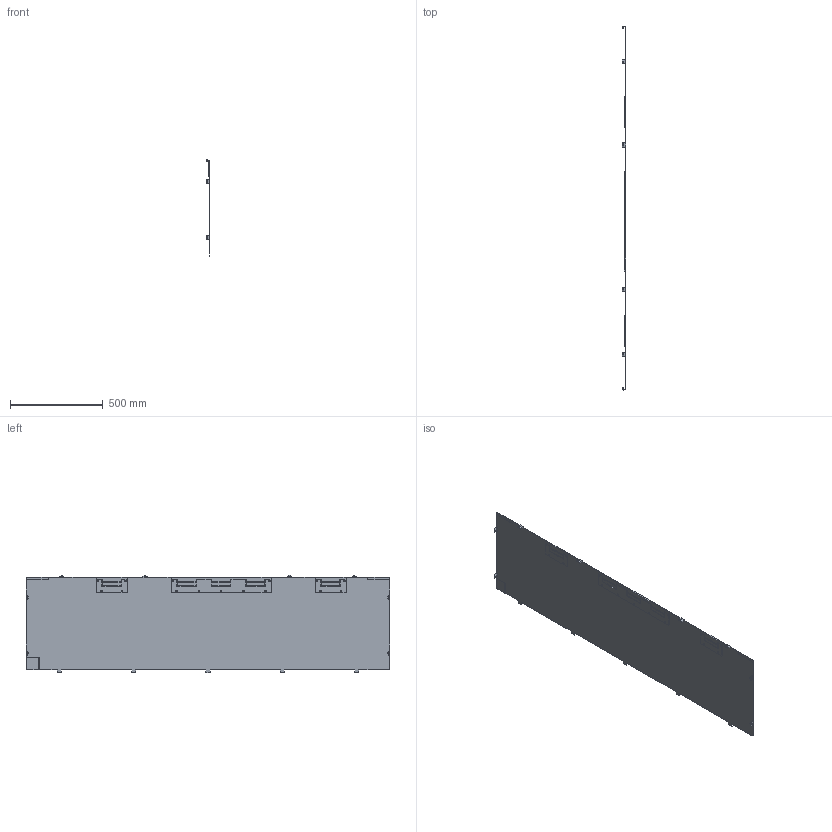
import cadquery as cq

OVERALL_DEPTH = 21.0
OVERALL_LENGTH = 1958.2
OVERALL_HEIGHT = 525.0

PANEL_HEIGHT = 500.0
PANEL_THICKNESS = 2.0
SNAP_BUMP = 1.6
PANEL_LENGTH = OVERALL_LENGTH - 2 * SNAP_BUMP
PANEL_CORNER_RADIUS = 12.0
HALF_LENGTH = PANEL_LENGTH / 2

TAB_WIDTH = 23.0
TAB_DROP = 15.0
TAB_PITCH = 400.0
TAB_COUNT = 5

CLIP_WIDTH = 24.0
CLIP_THICKNESS = 5.0
NOSE_TIP_WIDTH = 6.0
NOSE_SETBACK = 1.0
NOSE_LENGTH = 8.0
TOP_CLIP_RISE = OVERALL_HEIGHT - PANEL_HEIGHT - TAB_DROP
TOP_CLIP_CENTERS = (787.5, 338.0, -438.5, -787.5)
END_CLIP_HEIGHTS = (90.0, 390.0)
END_CLIP_REACH = 10.0
BUMP_LENGTH = 3.0

BASE_RISE = 4.0
COMB_RISE = 2.0
PLATE_DROP = 84.0
COMB_TOP_GAP = 13.0
WINDOW_WIDTH = 106.0
WINDOW_DROP = 49.5
WINDOW_PITCH = 185.0
WINDOW_LEDGE_WIDTH = 2.7
WINDOW_LEDGE_RISE = 1.0
SILL_SLIT_HEIGHT = 1.8
SLOT_TOP_DROP = 25.0
SLOT_HEIGHT = 6.0
PLATE_HOLE_DIAMETER = 8.0
LOWER_HOLE_DROP = 75.0
UPPER_HOLE_DROP = 20.0
UPPER_HOLE_INSET = 8.5
SMALL_PLATE_LENGTH = 166.0
SMALL_PLATE_CENTERS = (518.0, -660.0)
SMALL_PLATE_HOLES = (-55.0, 55.0)
LONG_PLATE_LENGTH = 538.0
LONG_PLATE_CENTER = -70.5
LONG_PLATE_HOLES = (-240.0, -120.0, 0.0, 120.0, 240.0)

PAD_RISE = 1.0
TOP_PAD_LENGTH = 118.0
TOP_PAD_HEIGHT = 13.0
CORNER_PAD_LENGTH = 65.0
CORNER_PAD_BORDER = 6.0
CORNER_PAD_HEIGHT = 67.0

PANEL_FRONT = -PANEL_THICKNESS
BASE_FRONT = PANEL_FRONT - BASE_RISE
COMB_FRONT = BASE_FRONT - COMB_RISE


def block(x_range, y_range, z_range):
    """Box spanning the given X, Y and Z ranges."""
    (x0, x1), (y0, y1), (z0, z1) = x_range, y_range, z_range
    return cq.Workplane("XY").box(x1 - x0, y1 - y0, z1 - z0, centered=False).translate((x0, y0, z0))


def span(center, width):
    """Range of the given width about a centre."""
    return (center - width / 2, center + width / 2)


def below_top(upper_drop, lower_drop):
    """Z range given by two distances below the panel's top edge."""
    return (PANEL_HEIGHT - lower_drop, PANEL_HEIGHT - upper_drop)


def panel():
    """Flat sheet with rounded lower corners and a row of tabs along its bottom edge."""
    sheet = block((PANEL_FRONT, 0), (-HALF_LENGTH, HALF_LENGTH), (0, PANEL_HEIGHT))
    sheet = sheet.edges("|X and <Z").fillet(PANEL_CORNER_RADIUS)
    for index in range(TAB_COUNT):
        center = (index - (TAB_COUNT - 1) / 2) * TAB_PITCH
        sheet = sheet.union(block((PANEL_FRONT, 0), span(center, TAB_WIDTH), (-TAB_DROP, 0)))
    return sheet


def nose(base_height, tip_height):
    """Tapered ridge near the free end of a clip, pointing up and centred on Y = 0."""
    outline = [
        (-CLIP_WIDTH / 2, base_height),
        (CLIP_WIDTH / 2, base_height),
        (NOSE_TIP_WIDTH / 2, tip_height),
        (-NOSE_TIP_WIDTH / 2, tip_height),
    ]
    outer_face = cq.Workplane("YZ").workplane(offset=NOSE_SETBACK - OVERALL_DEPTH)
    return outer_face.polyline(outline).close().extrude(NOSE_LENGTH)


def top_clip(center):
    """Arm on the top edge with a nose pointing up."""
    arm = block((-OVERALL_DEPTH, 0), span(0, CLIP_WIDTH), (0, CLIP_THICKNESS))
    clip = arm.union(nose(CLIP_THICKNESS, TOP_CLIP_RISE))
    return clip.translate((0, center, PANEL_HEIGHT))


def end_clip(side, height):
    """Arm on one end edge with a nose pointing inward and a small bump pointing outward."""
    arm = block((-OVERALL_DEPTH, 0), span(0, CLIP_WIDTH), (0, CLIP_THICKNESS))
    nose_end = NOSE_SETBACK + NOSE_LENGTH - OVERALL_DEPTH
    bump = block((nose_end - BUMP_LENGTH, nose_end), span(0, NOSE_TIP_WIDTH), (-SNAP_BUMP, 0))
    clip = arm.union(nose(CLIP_THICKNESS, END_CLIP_REACH)).union(bump)
    clip = clip.rotate((0, 0, 0), (1, 0, 0), side * 90)
    return clip.translate((0, side * HALF_LENGTH, height))


def window_centers(center, count):
    """Evenly pitched window positions about the plate's centre."""
    return [center + (index - (count - 1) / 2) * WINDOW_PITCH for index in range(count)]


def cut_window(plate, middle):
    """Open one window in the comb, leaving a low side ledge, and cut the finger slot behind it."""
    full = span(middle, WINDOW_WIDTH)
    inner = span(middle, WINDOW_WIDTH - 2 * WINDOW_LEDGE_WIDTH)
    ledge_front = BASE_FRONT - WINDOW_LEDGE_RISE
    plate = plate.cut(block((COMB_FRONT, ledge_front), full, below_top(0, WINDOW_DROP)))
    plate = plate.cut(block((ledge_front, BASE_FRONT), inner, below_top(0, WINDOW_DROP)))
    slot_range = below_top(SLOT_TOP_DROP, SLOT_TOP_DROP + SLOT_HEIGHT)
    return plate.cut(block((BASE_FRONT, PANEL_FRONT), inner, slot_range))


def handle_plate(center, length, middles, lower_holes):
    """Base sheet with a raised comb, windows in the comb, and screw holes as deep as the plate."""
    base = block((BASE_FRONT, PANEL_FRONT), span(center, length), below_top(0, PLATE_DROP))
    comb = block((COMB_FRONT, BASE_FRONT), span(center, length), below_top(COMB_TOP_GAP, PLATE_DROP))
    plate = base.union(comb)
    for middle in middles:
        plate = cut_window(plate, middle)
    upper_offset = length / 2 - UPPER_HOLE_INSET
    holes = [(center + offset, PANEL_HEIGHT - LOWER_HOLE_DROP) for offset in lower_holes]
    holes += [(center + sign * upper_offset, PANEL_HEIGHT - UPPER_HOLE_DROP) for sign in (-1, 1)]
    drills = cq.Workplane("YZ").workplane(offset=COMB_FRONT).pushPoints(holes)
    return plate.cut(drills.circle(PLATE_HOLE_DIAMETER / 2).extrude(BASE_RISE + COMB_RISE))


def sill_slit(middle):
    """Cutter for the through slit along one window sill."""
    inner = span(middle, WINDOW_WIDTH - 2 * WINDOW_LEDGE_WIDTH)
    return block((COMB_FRONT, 0), inner, below_top(WINDOW_DROP - SILL_SLIT_HEIGHT, WINDOW_DROP))


def add_handle(body, center, length, window_count, lower_holes):
    """Mount one handle plate on the panel and open its sill slits."""
    middles = window_centers(center, window_count)
    body = body.union(handle_plate(center, length, middles, lower_holes))
    for middle in middles:
        body = body.cut(sill_slit(middle))
    return body


def corner_pads():
    """Thin strips in both upper corners and a stepped pad in the lower +Y corner."""
    face = (PANEL_FRONT - PAD_RISE, PANEL_FRONT)
    inner = HALF_LENGTH - TOP_PAD_LENGTH
    pads = block(face, (inner, HALF_LENGTH), below_top(0, TOP_PAD_HEIGHT))
    pads = pads.union(block(face, (-HALF_LENGTH, -inner), below_top(0, TOP_PAD_HEIGHT)))
    pad_start = HALF_LENGTH - CORNER_PAD_LENGTH
    border = block(face, (pad_start - CORNER_PAD_BORDER, HALF_LENGTH), (0, CORNER_PAD_HEIGHT))
    raised_face = (face[0] - PAD_RISE, PANEL_FRONT)
    raised = block(raised_face, (pad_start, HALF_LENGTH), (0, CORNER_PAD_HEIGHT))
    lower_pad = border.union(raised).edges("|X and >Y and <Z").fillet(PANEL_CORNER_RADIUS)
    return pads.union(lower_pad)


result = panel().union(corner_pads())
for clip_center in TOP_CLIP_CENTERS:
    result = result.union(top_clip(clip_center))
for clip_side in (-1, 1):
    for clip_height in END_CLIP_HEIGHTS:
        result = result.union(end_clip(clip_side, clip_height))
for plate_center in SMALL_PLATE_CENTERS:
    result = add_handle(result, plate_center, SMALL_PLATE_LENGTH, 1, SMALL_PLATE_HOLES)
result = add_handle(result, LONG_PLATE_CENTER, LONG_PLATE_LENGTH, 3, LONG_PLATE_HOLES)